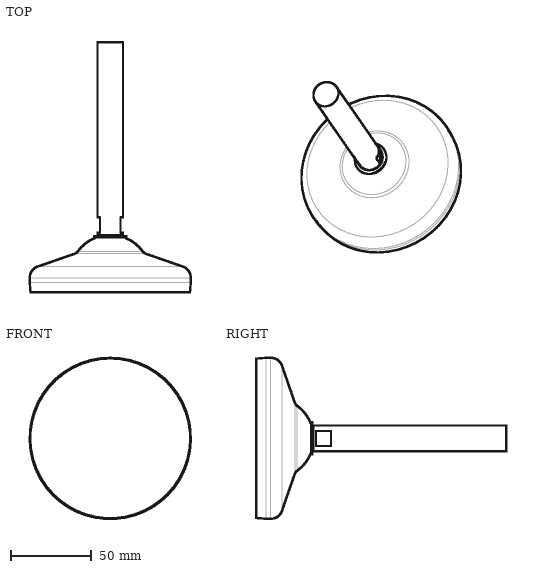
import cadquery as cq
import math

overall_height = 155.0

foot_radius = 50.0
underside_radius = 49.5
rim_height = 6.2
band_top = 9.0
shoulder_radius = 7.5
cone_angle = math.radians(19.1)
dome_radius = 25.0
dome_start_angle = math.radians(35.7)
dome_top = 33.9
dome_fillet = 3.4

lip_radius = 10.1
lip_top = 34.8

stud_radius = 8.0
stud_bottom = lip_top
neck_height = 0.35
stud_chamfer = 0.5
flats_width = 13.0
flats_bottom = 37.0
flats_length = 9.5


def polar_point(centre, radius, angle):
    return (centre[0] + radius * math.cos(angle), centre[1] + radius * math.sin(angle))


def make_foot():
    cone_normal = math.pi / 2 - cone_angle

    shoulder_centre = (foot_radius - shoulder_radius, band_top)
    shoulder_middle = polar_point(shoulder_centre, shoulder_radius, cone_normal / 2)
    shoulder_end = polar_point(shoulder_centre, shoulder_radius, cone_normal)

    fillet_x = (dome_radius + dome_fillet) * math.cos(dome_start_angle)
    cone_height = shoulder_end[1] + (shoulder_end[0] - fillet_x) * math.tan(cone_angle)
    fillet_centre = (fillet_x, cone_height + dome_fillet / math.cos(cone_angle))
    fillet_start = polar_point(fillet_centre, -dome_fillet, cone_normal)
    fillet_middle = polar_point(fillet_centre, -dome_fillet, (cone_normal + dome_start_angle) / 2)
    dome_start = polar_point(fillet_centre, -dome_fillet, dome_start_angle)

    dome_centre = polar_point(fillet_centre, -(dome_radius + dome_fillet), dome_start_angle)
    dome_end_angle = math.asin((dome_top - dome_centre[1]) / dome_radius)
    dome_middle = polar_point(dome_centre, dome_radius, (dome_start_angle + dome_end_angle) / 2)
    dome_end = polar_point(dome_centre, dome_radius, dome_end_angle)

    return (
        cq.Workplane("ZY")
        .moveTo(0, 0)
        .lineTo(underside_radius, 0)
        .lineTo(foot_radius, rim_height)
        .lineTo(foot_radius, band_top)
        .threePointArc(shoulder_middle, shoulder_end)
        .lineTo(*fillet_start)
        .threePointArc(fillet_middle, dome_start)
        .threePointArc(dome_middle, dome_end)
        .lineTo(lip_radius, lip_top)
        .lineTo(0, lip_top)
        .close()
        .revolve(360, (0, 0, 0), (0, 1, 0))
    )


def make_stud():
    neck_radius = stud_radius - stud_chamfer
    neck_top = stud_bottom + neck_height
    stud = (
        cq.Workplane("ZY")
        .moveTo(0, stud_bottom)
        .lineTo(neck_radius, stud_bottom)
        .lineTo(neck_radius, neck_top)
        .lineTo(stud_radius, neck_top + stud_chamfer)
        .lineTo(stud_radius, overall_height)
        .lineTo(0, overall_height)
        .close()
        .revolve(360, (0, 0, 0), (0, 1, 0))
    )
    flats_middle = flats_bottom + flats_length / 2
    cutter_depth = stud_radius
    for side in (-1, 1):
        cutter = cq.Workplane("XY").box(cutter_depth, flats_length, 2 * stud_radius)
        stud = stud.cut(cutter.translate((side * (flats_width + cutter_depth) / 2, flats_middle, 0)))
    return stud


foot = make_foot()
stud = make_stud()
result = cq.Compound.makeCompound([foot.val(), stud.val()])